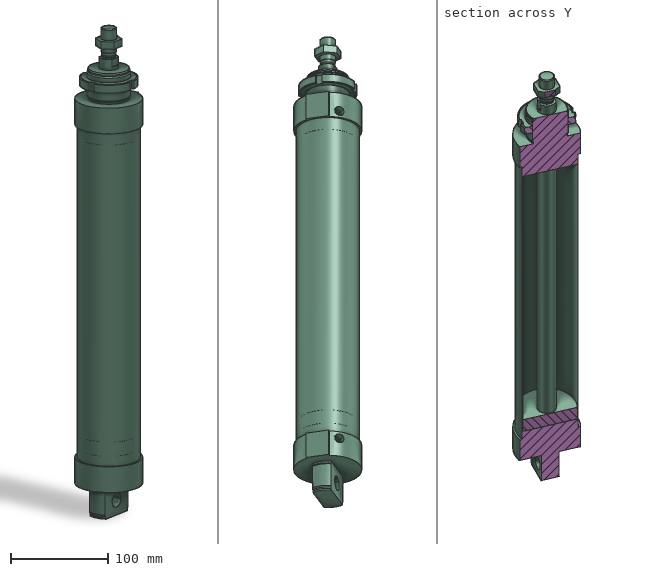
import cadquery as cq
import math


hub_height = 33.0
cap_height = 28.0
rear_cap_base = hub_height
rear_cap_top = rear_cap_base + cap_height
front_cap_base = 420.0
front_cap_top = front_cap_base + cap_height
hub_top = front_cap_top + hub_height
cap_diameter = 70.0

tube_diameter = 65.5
bore_diameter = 63.0
rear_wall = 10.5
front_wall = 13.0
bore_base = rear_cap_top + rear_wall
bore_top = front_cap_base - front_wall

hub_diameter = 45.0
hub_cone_height = 1.5
groove_diameter = 43.0
groove_height = 2.0
tip_diameter = 43.5
tip_height = 3.0
tip_chamfer_height = 1.5
tip_chamfer_depth = 0.5

boss_width = 24.5
port_diameter = 10.0
port_depth = 21.0
port_angle = 128.0
port_inset = 7.5

clevis_thickness = 20.0
clevis_hole_diameter = 15.0
clevis_hole_height = 16.0

piston_height = 15.0
rod_diameter = 20.0
rod_flats_base = 484.5
rod_flats_width = 17.0
shoulder_height = 492.0
relief_diameter = 14.0
relief_height = 1.5
relief_cone_height = 1.5
neck_diameter = 15.0
thread_diameter = 16.0
thread_base = 498.5
thread_chamfer = 1.0
rod_top = 524.0

hex_nut_flats = 24.0
hex_nut_base = 504.5
hex_nut_height = 8.0

lock_nut_diameter = 60.5
lock_nut_base = 462.0
lock_nut_height = 9.5
lock_nut_chamfer_height = 0.5
lock_nut_chamfer_depth = 1.5
slot_count = 4
slot_width = 7.0
slot_floor_radius = 26.5


def cylinder(diameter, base, top):
    """Upright cylinder on the Z axis between two heights."""
    return cq.Workplane("XY").workplane(offset=base).circle(diameter / 2).extrude(top - base)


def turned(profile):
    """Solid of revolution about Z from a closed outline of (radius, height) points."""
    return cq.Workplane("XZ").polyline(profile).close().revolve(360, (0, 0, 0), (0, 1, 0))


def make_hub():
    """Hub standing on Z = 0, with a root groove and a turned-down tip."""
    radius = hub_diameter / 2
    groove_radius = groove_diameter / 2
    tip_radius = tip_diameter / 2
    tip_base = hub_height - tip_height
    return turned([
        (0, 0),
        (groove_radius, 0),
        (groove_radius, groove_height),
        (radius, groove_height + hub_cone_height),
        (radius, tip_base - hub_cone_height),
        (tip_radius, tip_base),
        (tip_radius, hub_height - tip_chamfer_height),
        (tip_radius - tip_chamfer_depth, hub_height),
        (0, hub_height),
    ])


def make_cap(base):
    """Round end cap with a flat boss reaching out to +Y."""
    boss = (
        cq.Workplane("XY")
        .workplane(offset=base)
        .rect(boss_width, cap_diameter / 2, centered=(True, False))
        .extrude(cap_height)
    )
    return cylinder(cap_diameter, base, base + cap_height).union(boss)


def make_port(height):
    """Cutter for one blind radial port in the side of a cap."""
    angle = math.radians(port_angle)
    outward = cq.Vector(math.cos(angle), math.sin(angle), 0)
    floor_radius = cap_diameter / 2 - port_depth
    floor_center = outward * floor_radius + cq.Vector(0, 0, height)
    return cq.Workplane(cq.Solid.makeCylinder(port_diameter / 2, cap_diameter, floor_center, outward))


def make_clevis():
    """Downward hub sliced to a flat tongue with a cross hole along X."""
    hub = make_hub().mirror("XY").translate((0, 0, hub_height))
    slab = cq.Workplane("XY").box(
        clevis_thickness, hub_diameter, hub_height, centered=(True, True, False)
    )
    hole = (
        cq.Workplane("YZ")
        .center(0, clevis_hole_height)
        .circle(clevis_hole_diameter / 2)
        .extrude(clevis_thickness, both=True)
    )
    return hub.intersect(slab).cut(hole)


def make_housing():
    body = (
        cylinder(tube_diameter, rear_cap_base, front_cap_top)
        .union(make_cap(rear_cap_base))
        .union(make_cap(front_cap_base))
        .union(make_hub().translate((0, 0, front_cap_top)))
        .union(make_clevis())
    )
    bore = cylinder(bore_diameter, bore_base, bore_top)
    rod_passage = cylinder(rod_diameter, bore_base, hub_top)
    body = body.cut(bore).cut(rod_passage)
    for height in (rear_cap_top - port_inset, front_cap_base + port_inset):
        body = body.cut(make_port(height))
    return body


def make_rod():
    """Turned rod with its piston resting on the rear end of the bore."""
    piston_top = bore_base + piston_height
    relief_top = shoulder_height + relief_height
    thread_radius = thread_diameter / 2
    rod = turned([
        (0, bore_base),
        (bore_diameter / 2, bore_base),
        (bore_diameter / 2, piston_top),
        (rod_diameter / 2, piston_top),
        (rod_diameter / 2, shoulder_height),
        (relief_diameter / 2, shoulder_height),
        (relief_diameter / 2, relief_top),
        (neck_diameter / 2, relief_top + relief_cone_height),
        (neck_diameter / 2, thread_base),
        (thread_radius, thread_base),
        (thread_radius, rod_top - thread_chamfer),
        (thread_radius - thread_chamfer, rod_top),
        (0, rod_top),
    ])
    for side in (-1, 1):
        flat_cut = (
            cq.Workplane("XY")
            .workplane(offset=rod_flats_base)
            .center(side * (rod_flats_width + rod_diameter) / 2, 0)
            .rect(rod_diameter, rod_diameter)
            .extrude(shoulder_height - rod_flats_base)
        )
        rod = rod.cut(flat_cut)
    return rod


def make_hex_nut():
    """Hexagon nut with flats facing +X and -X."""
    corner_diameter = hex_nut_flats / math.cos(math.radians(30))
    top = hex_nut_base + hex_nut_height
    return (
        cq.Workplane("XY")
        .workplane(offset=hex_nut_base)
        .transformed(rotate=(0, 0, 30))
        .polygon(6, corner_diameter)
        .extrude(hex_nut_height)
        .cut(cylinder(thread_diameter, hex_nut_base, top))
    )


def make_lock_nut():
    """Round nut on the hub, with shallow edge chamfers and spanner slots in its rim."""
    top = lock_nut_base + lock_nut_height
    bore_radius = hub_diameter / 2
    rim_radius = lock_nut_diameter / 2
    face_radius = rim_radius - lock_nut_chamfer_depth
    nut = turned([
        (bore_radius, lock_nut_base),
        (face_radius, lock_nut_base),
        (rim_radius, lock_nut_base + lock_nut_chamfer_height),
        (rim_radius, top - lock_nut_chamfer_height),
        (face_radius, top),
        (bore_radius, top),
    ])
    slot_length = rim_radius
    slots = (
        cq.Workplane("XY")
        .workplane(offset=lock_nut_base)
        .polarArray(slot_floor_radius + slot_length / 2, 0, 360, slot_count)
        .rect(slot_length, slot_width)
        .extrude(lock_nut_height)
    )
    return nut.cut(slots)


housing = make_housing()
rod = make_rod()
hex_nut = make_hex_nut()
lock_nut = make_lock_nut()

result = cq.Compound.makeCompound([housing.val(), rod.val(), hex_nut.val(), lock_nut.val()])